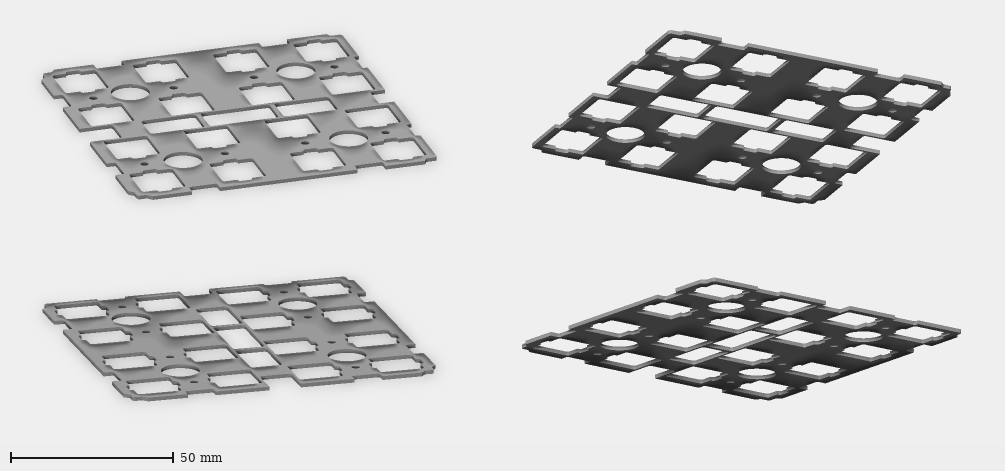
import cadquery as cq

WIDTH = 100.0
DEPTH = 98.5
THICKNESS = 1.2
HALF_WIDTH = WIDTH / 2
HALF_DEPTH = DEPTH / 2

GRID_Y = 0.75
PITCH = 25.95
GRID_STEPS = (-1.5, -0.5, 0.5, 1.5)
SWITCH_SIZE = 14.1
SWITCH_RADIUS = 0.8
CLIP_REACH = 1.25
CLIP_LENGTH = 4.8
CLIP_RADIUS = 1.0

SCREW_DIAMETER = 2.6
LARGE_DIAMETER = 12.0
LARGE_SPACING = 53.5

WINDOW_WIDTH = 10.2
WINDOW_RADIUS = 1.0
MIDDLE_WINDOW_LENGTH = 22.4
END_WINDOW_LENGTH = 17.6
WINDOW_WEB = 1.5

NOTCH_LENGTH = 9.0
SIDE_NOTCH_DEPTH = 3.2
BACK_NOTCH_DEPTH = 1.6
FRONT_NOTCH_DEPTH = 2.9
NOTCH_RADIUS = 0.5
BACK_CENTRE_WIDTH = 9.3
BACK_CENTRE_DEPTH = 4.9
FRONT_CENTRE_DEPTH = 10.6

CORNER_INSET = 1.6
BACK_STEP_LENGTH = 3.6
BACK_CORNER_RADIUS = 1.0
BACK_STEP_FLARE = 0.9
FRONT_STEP_LENGTH = 4.6
FRONT_STEP_FLARE = 1.5
FRONT_CORNER_RADIUS = 1.0


def rounded_cutter(length_x, length_y, x, y, radius):
    """Block through the plate, centred on (x, y), with rounded vertical edges."""
    block = cq.Workplane("XY").box(length_x, length_y, THICKNESS)
    return block.edges("|Z").fillet(radius).translate((x, y, 0))


def plate_blank():
    """Plate outline: stepped and rounded at its four corners, otherwise straight."""
    inner_x = HALF_WIDTH - CORNER_INSET
    inner_front_y = -HALF_DEPTH + CORNER_INSET
    front_step_x = HALF_WIDTH - FRONT_STEP_LENGTH
    front_step_y = -HALF_DEPTH + FRONT_STEP_LENGTH
    back_step_y = HALF_DEPTH - BACK_STEP_LENGTH
    right_side = [
        (front_step_x - FRONT_STEP_FLARE, -HALF_DEPTH),
        (front_step_x, inner_front_y),
        (inner_x, inner_front_y),
        (inner_x, front_step_y),
        (HALF_WIDTH, front_step_y + FRONT_STEP_FLARE),
        (HALF_WIDTH, back_step_y - BACK_STEP_FLARE),
        (inner_x, back_step_y),
        (inner_x, HALF_DEPTH),
    ]
    left_side = [(-x, y) for x, y in reversed(right_side)]
    blank = cq.Workplane("XY").polyline(right_side + left_side).close().extrude(THICKNESS / 2, both=True)
    for x in (-inner_x, inner_x):
        for y, radius in ((inner_front_y, FRONT_CORNER_RADIUS), (HALF_DEPTH, BACK_CORNER_RADIUS)):
            blank = blank.edges(cq.selectors.NearestToPointSelector((x, y, 0))).fillet(radius)
    return blank


def cut_switch_openings(plate):
    """Square openings; outer columns have clip recesses on both sides, inner ones on the outer side."""
    for column in GRID_STEPS:
        x = column * PITCH
        outward = 1 if column > 0 else -1
        is_outer = abs(column) > 1
        clip_sides = (-1, 1) if is_outer else (outward,)
        for row in GRID_STEPS:
            y = GRID_Y + row * PITCH
            plate = plate.cut(rounded_cutter(SWITCH_SIZE, SWITCH_SIZE, x, y, SWITCH_RADIUS))
            for side in clip_sides:
                clip_x = x + side * SWITCH_SIZE / 2
                plate = plate.cut(rounded_cutter(2 * CLIP_REACH, CLIP_LENGTH, clip_x, y, CLIP_RADIUS))
    return plate


def cut_round_holes(plate):
    """Screw holes between the columns of each half, and four large holes."""
    screws = [(x, GRID_Y + row * PITCH) for x in (-PITCH, PITCH) for row in GRID_STEPS]
    half_spacing = LARGE_SPACING / 2
    large = [(x, GRID_Y + y) for x in (-half_spacing, half_spacing) for y in (-half_spacing, half_spacing)]
    for points, diameter in ((screws, SCREW_DIAMETER), (large, LARGE_DIAMETER)):
        holes = cq.Workplane("XY").pushPoints(points).circle(diameter / 2).extrude(THICKNESS / 2, both=True)
        plate = plate.cut(holes)
    return plate


def cut_windows(plate):
    """Three rounded windows in line along the centre of the plate."""
    end_offset = MIDDLE_WINDOW_LENGTH / 2 + WINDOW_WEB + END_WINDOW_LENGTH / 2
    windows = (
        (-end_offset, END_WINDOW_LENGTH),
        (0, MIDDLE_WINDOW_LENGTH),
        (end_offset, END_WINDOW_LENGTH),
    )
    for offset, length in windows:
        plate = plate.cut(rounded_cutter(WINDOW_WIDTH, length, 0, GRID_Y + offset, WINDOW_RADIUS))
    return plate


def cut_edge_notches(plate):
    """Notches in line with the large holes on every edge, and one mid-way on the front and back edges."""
    half_spacing = LARGE_SPACING / 2
    for side in (-1, 1):
        along = side * half_spacing
        for edge_x in (-HALF_WIDTH, HALF_WIDTH):
            plate = plate.cut(
                rounded_cutter(2 * SIDE_NOTCH_DEPTH, NOTCH_LENGTH, edge_x, GRID_Y + along, NOTCH_RADIUS)
            )
        for edge_y, depth in ((HALF_DEPTH, BACK_NOTCH_DEPTH), (-HALF_DEPTH, FRONT_NOTCH_DEPTH)):
            plate = plate.cut(rounded_cutter(NOTCH_LENGTH, 2 * depth, along, edge_y, NOTCH_RADIUS))
    plate = plate.cut(rounded_cutter(BACK_CENTRE_WIDTH, 2 * BACK_CENTRE_DEPTH, 0, HALF_DEPTH, NOTCH_RADIUS))
    return plate.cut(rounded_cutter(WINDOW_WIDTH, 2 * FRONT_CENTRE_DEPTH, 0, -HALF_DEPTH, WINDOW_RADIUS))


plate = plate_blank()
plate = cut_switch_openings(plate)
plate = cut_round_holes(plate)
plate = cut_windows(plate)
result = cut_edge_notches(plate)